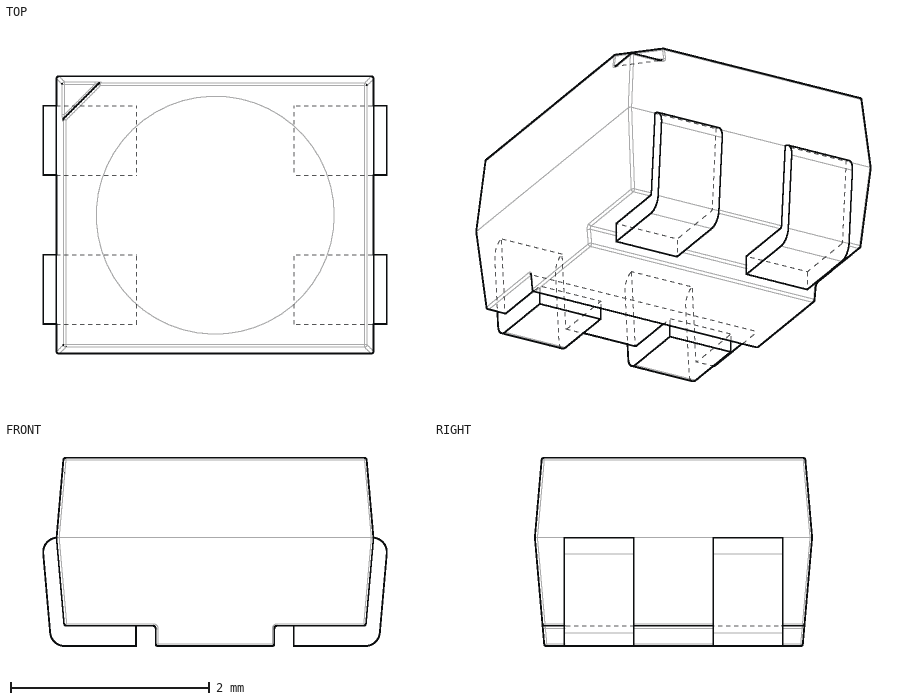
import cadquery as cq
import math

total_length = 3.47
body_length = 3.2
body_width = 2.8
total_height = 1.9
parting_height = 1.095
draft_angle = 5.0
edge_radius = 0.025

underside_height = 0.205
foot_length = 1.2

corner_leg = 0.5
corner_depth = 0.15

window_radius = 1.2
window_depth = 0.07

lead_width = 0.7
lead_gap = 0.8
lead_bend_radius = 0.15
lead_end_x = 0.795

draft = math.radians(draft_angle)
half_length = body_length / 2
half_width = body_width / 2
lead_center_y = (lead_gap + lead_width) / 2


def tapered_half(height):
    """Half of the body, drawn in from the parting plane; a negative height goes down."""
    return (
        cq.Workplane("XY", origin=(0, 0, parting_height))
        .rect(body_length, body_width)
        .extrude(height, taper=draft_angle)
    )


def underside_relief(side):
    """Block removed below the body on one side (+1 or -1) of the foot."""
    relief_length = half_length - foot_length / 2
    center_x = side * (foot_length + relief_length) / 2
    return (
        cq.Workplane("XY")
        .center(center_x, 0)
        .rect(relief_length, body_width)
        .extrude(underside_height)
    )


def corner_step():
    """Triangular prism that removes the marked corner."""
    return (
        cq.Workplane("XY", origin=(0, 0, total_height - corner_depth))
        .moveTo(-half_length, half_width)
        .lineTo(-half_length + corner_leg, half_width)
        .lineTo(-half_length, half_width - corner_leg)
        .close()
        .extrude(corner_depth)
    )


def make_body():
    body = tapered_half(total_height - parting_height).union(tapered_half(-parting_height))
    for side in (-1, 1):
        body = body.cut(underside_relief(side))
    body = body.cut(corner_step())
    parting_edges = cq.selectors.BoxSelector(
        (-body_length, -body_width, parting_height - edge_radius),
        (body_length, body_width, parting_height + edge_radius),
    )
    all_edges = cq.selectors.StringSyntaxSelector("%LINE")
    rounded_edges = cq.selectors.SubtractSelector(all_edges, parting_edges)
    return body.edges(rounded_edges).fillet(edge_radius)


def make_lead(side, center_y):
    """Lead leaving the body at the parting plane, folded down its end and under it."""
    bend_growth = lead_bend_radius * (1 / math.cos(draft) + math.tan(draft) - 1)
    top_x = total_length / 2 + bend_growth
    bottom_x = top_x - parting_height * math.tan(draft)
    root_x = half_length - lead_bend_radius
    outline = [
        (side * root_x, parting_height),
        (side * top_x, parting_height),
        (side * bottom_x, 0),
        (side * lead_end_x, 0),
        (side * lead_end_x, underside_height),
        (side * root_x, underside_height),
    ]
    lead = (
        cq.Workplane("XZ", origin=(0, center_y + lead_width / 2, 0))
        .polyline(outline)
        .close()
        .extrude(lead_width)
    )
    bend_start_x = (root_x + bottom_x) / 2
    outer_edges = cq.selectors.BoxSelector(
        (side * bend_start_x, -body_width, -lead_bend_radius),
        (side * total_length, body_width, total_height),
    )
    return lead.edges("|Y").edges(outer_edges).fillet(lead_bend_radius)


def add_window(body):
    """Mark the round window as a separate face, level with the top."""
    window = (
        cq.Workplane("XY", origin=(0, 0, total_height))
        .circle(window_radius)
        .extrude(-window_depth)
    )
    return body.union(window, clean=False)


result = make_body()
for side in (-1, 1):
    for center_y in (-lead_center_y, lead_center_y):
        result = result.union(make_lead(side, center_y))
result = add_window(result)